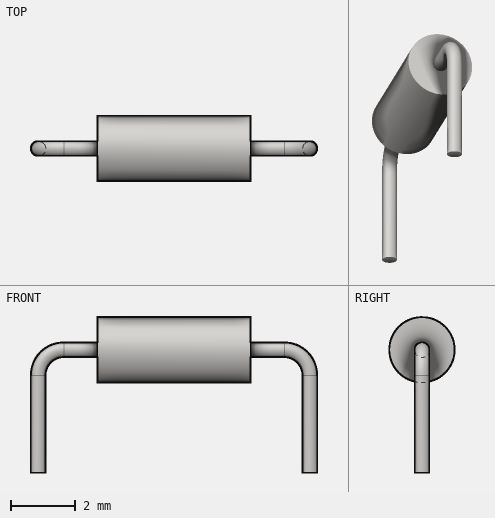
import cadquery as cq

body_diameter = 2.03
body_length = 4.75

wire_diameter = 0.46
overall_length = 8.87
overall_height = 4.83
bend_radius = 0.79

body_half_length = body_length / 2
axis_height = overall_height - body_diameter / 2
leg_x = (overall_length - wire_diameter) / 2
bend_start_x = leg_x - bend_radius
bend_end_z = axis_height - bend_radius


def make_body():
    """Plain cylinder centred on the YZ plane."""
    return (
        cq.Workplane("YZ", origin=(-body_half_length, 0, axis_height))
        .circle(body_diameter / 2)
        .extrude(body_length)
    )


def make_lead(side):
    """Wire from the body's end face, around the bend and down; side is -1 or +1 along X."""
    centreline = (
        cq.Workplane("XZ")
        .moveTo(side * body_half_length, axis_height)
        .lineTo(side * bend_start_x, axis_height)
        .tangentArcPoint((side * leg_x, bend_end_z), relative=False)
        .lineTo(side * leg_x, 0)
    )
    return (
        cq.Workplane("YZ", origin=(side * body_half_length, 0, axis_height))
        .circle(wire_diameter / 2)
        .sweep(centreline)
    )


body = make_body()
leads = [make_lead(side) for side in (-1, 1)]

result = cq.Compound.makeCompound([body.val(), *[lead.val() for lead in leads]])